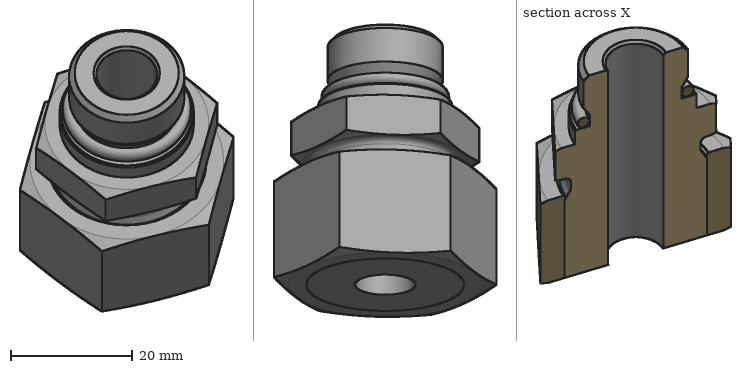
import cadquery as cq
import math


total_height = 42.5
nut_height = 18.0
flange_bottom = 21.5
flange_height = 6.95
flange_top = flange_bottom + flange_height
collar_top = 31.5

nut_across_flats = 32.0
flange_across_flats = 27.07
hex_turn = 37.5
hex_chamfer_angle = 15.0

bore_diameter = 10.0
bore_chamfer = 0.45
port_diameter = 19.05
port_chamfer = 0.95
groove_diameter = 16.75
groove_cone_angle = 30.0
collar_diameter = 22.2
collar_chamfer = 0.25

ring_section = 2.2
ring_center_radius = (groove_diameter + ring_section) / 2

neck_diameter = 23.7
neck_top = 20.5
neck_bottom = 19.15
neck_fillet = flange_bottom - neck_top
thread_diameter = 26.0
thread_cone_angle = 30.0
nut_mouth_diameter = 26.35
nut_core_diameter = 24.4


def chamfered_hexagon(across_flats, bottom, height):
    """Hexagonal prism whose corners are turned off by a cone at both ends."""
    corner_radius = across_flats / 2 / math.cos(math.radians(30))
    flat_radius = across_flats / 2
    drop = (corner_radius - flat_radius) * math.tan(math.radians(hex_chamfer_angle))
    prism = (
        cq.Workplane("XY")
        .workplane(offset=bottom)
        .polygon(6, 2 * corner_radius)
        .extrude(height)
        .rotate((0, 0, 0), (0, 0, 1), hex_turn)
    )
    turned = (
        cq.Workplane("XZ")
        .moveTo(0, bottom)
        .lineTo(flat_radius, bottom)
        .lineTo(corner_radius, bottom + drop)
        .lineTo(corner_radius, bottom + height - drop)
        .lineTo(flat_radius, bottom + height)
        .lineTo(0, bottom + height)
        .close()
        .revolve(360, (0, 0, 0), (0, 1, 0))
    )
    return prism.intersect(turned)


def make_port_end():
    """Collar, O-ring groove and plug above the flange."""
    port_radius = port_diameter / 2
    groove_radius = groove_diameter / 2
    collar_radius = collar_diameter / 2
    groove_top = collar_top + ring_section
    cone_height = (port_radius - groove_radius) / math.tan(math.radians(groove_cone_angle))
    return (
        cq.Workplane("XZ")
        .moveTo(0, flange_top)
        .lineTo(collar_radius, flange_top)
        .lineTo(collar_radius, collar_top - collar_chamfer)
        .lineTo(collar_radius - collar_chamfer, collar_top)
        .lineTo(groove_radius, collar_top)
        .lineTo(groove_radius, groove_top)
        .lineTo(port_radius, groove_top + cone_height)
        .lineTo(port_radius, total_height - port_chamfer)
        .lineTo(port_radius - port_chamfer, total_height)
        .lineTo(0, total_height)
        .close()
        .revolve(360, (0, 0, 0), (0, 1, 0))
    )


def make_shank():
    """Filleted neck under the flange and the threaded shank inside the nut."""
    neck_radius = neck_diameter / 2
    thread_radius = thread_diameter / 2
    fillet_center = neck_radius + neck_fillet

    def fillet_point(level, angle):
        """Point of a neck fillet, turned down by an angle from its tangent to the neck."""
        radius = fillet_center - neck_fillet * math.cos(math.radians(angle))
        return radius, level - neck_fillet * math.sin(math.radians(angle))

    cone_start = fillet_point(neck_bottom, thread_cone_angle)
    cone_height = (thread_radius - cone_start[0]) / math.tan(math.radians(thread_cone_angle))
    return (
        cq.Workplane("XZ")
        .moveTo(0, 0)
        .lineTo(thread_radius, 0)
        .lineTo(thread_radius, cone_start[1] - cone_height)
        .lineTo(*cone_start)
        .threePointArc(fillet_point(neck_bottom, thread_cone_angle / 2), (neck_radius, neck_bottom))
        .lineTo(neck_radius, neck_top)
        .threePointArc(fillet_point(neck_top, -45), (fillet_center, flange_bottom))
        .lineTo(0, flange_bottom)
        .close()
        .revolve(360, (0, 0, 0), (0, 1, 0))
    )


def make_body():
    """Flange, port end and shank in one piece, with a bore right through."""
    flange = chamfered_hexagon(flange_across_flats, flange_bottom, flange_height)
    solid = flange.union(make_port_end()).union(make_shank())
    bore = cq.Workplane("XY").circle(bore_diameter / 2).extrude(total_height)
    rim = (
        cq.Workplane("XY")
        .workplane(offset=total_height)
        .circle(bore_diameter / 2 + bore_chamfer)
        .extrude(-bore_chamfer, taper=45)
    )
    return solid.cut(bore).cut(rim).solids()


def make_nut(body):
    """Hexagonal nut with a chamfered mouth, fitted around the shank of the body."""
    mouth_depth = (nut_mouth_diameter - nut_core_diameter) / 2
    nut = chamfered_hexagon(nut_across_flats, 0, nut_height)
    hole = cq.Workplane("XY").circle(nut_core_diameter / 2).extrude(nut_height)
    mouth = (
        cq.Workplane("XY")
        .workplane(offset=nut_height)
        .circle(nut_mouth_diameter / 2)
        .extrude(-mouth_depth, taper=45)
    )
    return nut.cut(hole).cut(mouth).cut(body).solids()


def make_o_ring():
    """Round-section ring that fills the height of the groove."""
    return (
        cq.Workplane("XZ")
        .center(ring_center_radius, collar_top + ring_section / 2)
        .circle(ring_section / 2)
        .revolve(360, (-ring_center_radius, 0, 0), (-ring_center_radius, 1, 0))
    )


body = make_body()
nut = make_nut(body)
o_ring = make_o_ring()

result = cq.Compound.makeCompound([body.val(), nut.val(), o_ring.val()])